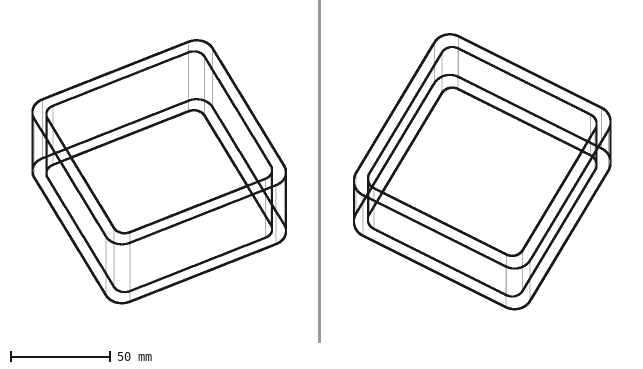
import cadquery as cq

side = 100.0
length = 50.0
wall = 6.0
outer_corner_radius = 1.5 * wall
inner_corner_radius = 1.0 * wall


def rounded_square_prism(width, corner_radius):
    """Square prism of the tube length with rounded vertical edges."""
    return (
        cq.Workplane("XY")
        .rect(width, width)
        .extrude(length)
        .edges("|Z")
        .fillet(corner_radius)
    )


outer_body = rounded_square_prism(side, outer_corner_radius)
bore = rounded_square_prism(side - 2 * wall, inner_corner_radius)

result = outer_body.cut(bore)